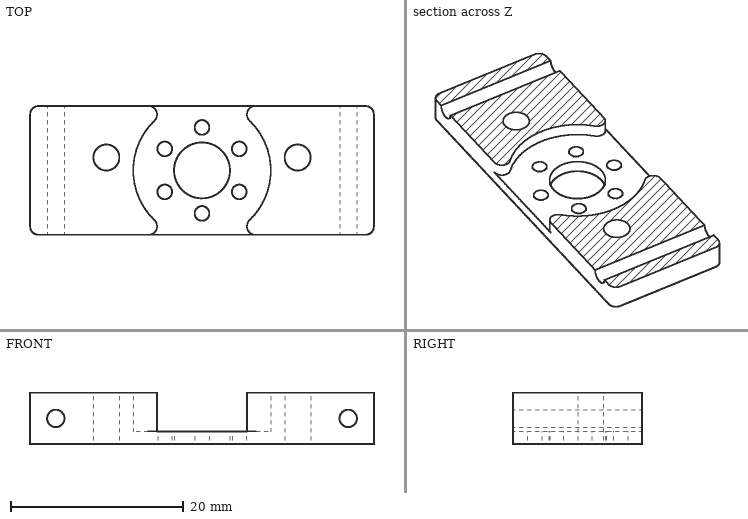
import cadquery as cq
import math

length = 40
width = 15.0
height = 6
corner_radius = 1.0

floor_thickness = height / 4
pocket_radius = 8
tip_radius = 1.0

center_hole_diameter = 6.5
ring_hole_diameter = 1.7
ring_hole_count = 6
ring_start_angle = 90
ring_radius = 5.0
mount_hole_diameter = 3.0
mount_hole_x = 11.1
mount_hole_y = width / 10
cross_hole_diameter = 2
cross_hole_x = 17.0
cross_hole_z = height / 2


def make_block():
    block = cq.Workplane("XY").box(length, width, height, centered=(True, True, False))
    return block.edges("|Z").fillet(corner_radius)


def make_pocket():
    """Disc-shaped pocket whose openings flare around the rounded tips of the end blocks."""
    side_y = width / 2
    tip_y = side_y - tip_radius
    tip_x = math.sqrt((pocket_radius + tip_radius) ** 2 - tip_y**2)
    tangent_scale = pocket_radius / (pocket_radius + tip_radius)
    tangent_x = tip_x * tangent_scale
    tangent_y = tip_y * tangent_scale
    nose_x = tip_x - tip_radius
    outline = (
        cq.Workplane("XY", origin=(0, 0, floor_thickness))
        .moveTo(-tip_x, -side_y)
        .lineTo(tip_x, -side_y)
        .threePointArc((nose_x, -tip_y), (tangent_x, -tangent_y))
        .threePointArc((pocket_radius, 0), (tangent_x, tangent_y))
        .threePointArc((nose_x, tip_y), (tip_x, side_y))
        .lineTo(-tip_x, side_y)
        .threePointArc((-nose_x, tip_y), (-tangent_x, tangent_y))
        .threePointArc((-pocket_radius, 0), (-tangent_x, -tangent_y))
        .threePointArc((-nose_x, -tip_y), (-tip_x, -side_y))
        .close()
    )
    return outline.extrude(height - floor_thickness)


def make_vertical_holes():
    center_hole = cq.Workplane("XY").circle(center_hole_diameter / 2).extrude(height)
    ring_holes = (
        cq.Workplane("XY")
        .polarArray(ring_radius, ring_start_angle, 360, ring_hole_count)
        .circle(ring_hole_diameter / 2)
        .extrude(height)
    )
    mount_holes = (
        cq.Workplane("XY")
        .pushPoints([(-mount_hole_x, mount_hole_y), (mount_hole_x, mount_hole_y)])
        .circle(mount_hole_diameter / 2)
        .extrude(height)
    )
    return center_hole.union(ring_holes).union(mount_holes)


def make_cross_holes():
    """Holes running along Y through the full width of each end block."""
    return (
        cq.Workplane("XZ")
        .pushPoints([(-cross_hole_x, cross_hole_z), (cross_hole_x, cross_hole_z)])
        .circle(cross_hole_diameter / 2)
        .extrude(width / 2, both=True)
    )


result = make_block().cut(make_pocket()).cut(make_vertical_holes()).cut(make_cross_holes())